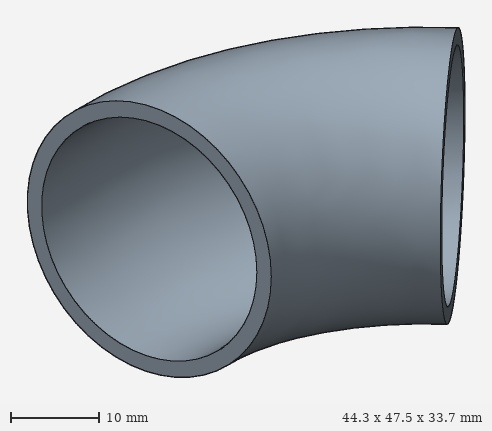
import cadquery as cq

outer_diameter = 33.7
wall = 2.0
bend_radius = 38.0
bend_angle = 60.0

outer_radius = outer_diameter / 2
inner_radius = outer_radius - wall

tube_section = cq.Workplane("XZ").circle(outer_radius).circle(inner_radius)

result = tube_section.revolve(
    bend_angle,
    axisStart=(bend_radius, 0),
    axisEnd=(bend_radius, -1),
)